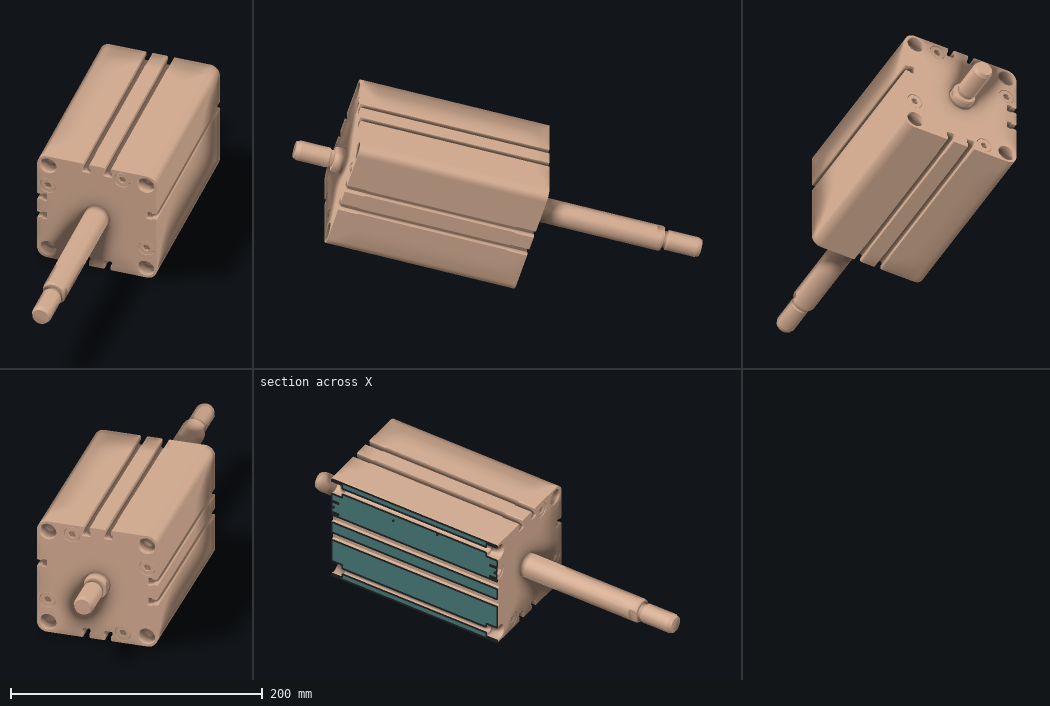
import cadquery as cq

total_length = 336.0
half_length = total_length / 2
body_width = 100.0
half_width = body_width / 2
body_corner_radius = 8.5
body_front_y = -28.2
body_rear_y = 128.5
cap_length = 16.0

groove_offset = 9.0
single_groove_offset = 11.8
mouth_width = 5.0
rim_bevel = 0.7
no_bevel = 0
channel_width = 7.0
groove_depth = 8.5
lip_depth = 4.0
channel_bevel = 0.7

mount_offset = 41.0
mount_hole_diameter = 8.5
mount_counterbore_diameter = 14.0
mount_counterbore_depth = 10.0

screw_offset = 41.3
screw_shift = 21.0
screw_pocket_diameter = 13.5
screw_pocket_depth = 6.7
screw_head_diameter = 12.5
screw_head_recess = 0.5
socket_across_corners = 6.5
socket_depth = 2.7
socket_sides = 6

rod_diameter = 20.0
rod_recess_diameter = 22.0
rod_recess_depth = 5.0

thread_diameter = 16.0
thread_length = 27.5
thread_bevel_length = 3.5
thread_bevel_height = 1.5
thread_root_bevel = 1.5
neck_diameter = 13.5
neck_length = 2.7
shoulder_bevel_length = 2.0
shoulder_bevel_height = 0.7
flats_spacing = 17.0
flat_length = 7.0
flat_ramp_length = 1.0
shoulder_y = half_length - thread_length - thread_root_bevel - neck_length

FULL_TURN = 360
SIDE_ANGLES = {"top": 0, "right": 90, "bottom": 180, "left": 270}


def section_plane(y):
    """Work plane across the rod at y, with local axes along +X and +Z."""
    return cq.Workplane("XZ", origin=(0, y, 0))


def cylinder(x, z, y_start, y_end, diameter):
    return section_plane(y_start).center(x, z).circle(diameter / 2).extrude(y_start - y_end)


def turned(shape, angle):
    """Shape turned about the rod axis; a quarter turn carries the top side to the right side."""
    return shape.rotate((0, 0, 0), (0, 1, 0), angle)


def groove(y_start, y_end, offset, rim):
    """Cutter for one groove in the top side; rim is the bevel of its mouth edges."""
    floor_z = half_width - groove_depth
    lip_z = half_width - lip_depth
    half_channel = channel_width / 2
    half_mouth = mouth_width / 2
    right_side = [
        (half_channel - channel_bevel, floor_z),
        (half_channel, floor_z + channel_bevel),
        (half_channel, lip_z),
        (half_mouth, lip_z),
        (half_mouth, half_width - rim),
    ]
    if rim > no_bevel:
        right_side.append((half_mouth + rim, half_width))
    left_side = [(-x, z) for x, z in reversed(right_side)]
    outline = section_plane(y_start).center(offset, 0).polyline(right_side + left_side).close()
    return outline.extrude(y_start - y_end)


def grooved_block(y_start, y_end, top_bottom_rim):
    """Rounded square length of the body with its grooves and mounting holes."""
    block = (
        section_plane(y_start)
        .rect(body_width, body_width)
        .extrude(y_start - y_end)
        .edges("|Y")
        .fillet(body_corner_radius)
    )
    pair = (-groove_offset, groove_offset)
    layout = [
        ("top", pair, top_bottom_rim),
        ("bottom", pair, top_bottom_rim),
        ("left", pair, rim_bevel),
        ("right", (-single_groove_offset,), rim_bevel),
    ]
    for side, offsets, rim in layout:
        for offset in offsets:
            block = block.cut(turned(groove(y_start, y_end, offset, rim), SIDE_ANGLES[side]))
    for x, z in mount_positions():
        block = block.cut(cylinder(x, z, y_start, y_end, mount_hole_diameter))
    return block


def mount_positions():
    signs = (-1, 1)
    return [(i * mount_offset, j * mount_offset) for i in signs for j in signs]


def screw_positions():
    return [
        (screw_shift, screw_offset),
        (screw_offset, -screw_shift),
        (-screw_shift, -screw_offset),
        (-screw_offset, screw_shift),
    ]


def screw_cutter(x, z, face_y, inward):
    """Ring-shaped gap around a screw head, the space above the head and its hex socket."""
    floor_y = face_y + inward * screw_pocket_depth
    head_y = face_y + inward * screw_head_recess
    pocket = cylinder(x, z, face_y, floor_y, screw_pocket_diameter)
    head = cylinder(x, z, head_y, floor_y, screw_head_diameter)
    socket = (
        section_plane(face_y)
        .center(x, z)
        .polygon(socket_sides, socket_across_corners)
        .extrude(-inward * socket_depth)
    )
    return pocket.cut(head).union(socket)


def end_cap(face_y, inward):
    """End cap with its outer face at face_y; inward is the Y direction into the body."""
    cap = grooved_block(face_y, face_y + inward * cap_length, rim_bevel)
    counterbore_y = face_y + inward * mount_counterbore_depth
    for x, z in mount_positions():
        cap = cap.cut(cylinder(x, z, face_y, counterbore_y, mount_counterbore_diameter))
    for x, z in screw_positions():
        cap = cap.cut(screw_cutter(x, z, face_y, inward))
    recess_y = face_y + inward * rod_recess_depth
    return cap.cut(cylinder(0, 0, face_y, recess_y, rod_recess_diameter))


def wrench_flat():
    """Cutter for the +X flat; its inner end ramps out to the rod surface."""
    rod_radius = rod_diameter / 2
    flat_x = flats_spacing / 2
    ramp_y = shoulder_y - flat_length
    profile = [
        (flat_x, shoulder_y),
        (flat_x, ramp_y + flat_ramp_length),
        (rod_radius, ramp_y),
        (rod_diameter, ramp_y),
        (rod_diameter, shoulder_y),
    ]
    return cq.Workplane("XY").polyline(profile).close().extrude(rod_diameter, both=True)


def half_rod():
    """Half of the rod from the middle of the part to its +Y end."""
    thread_radius = thread_diameter / 2
    neck_radius = neck_diameter / 2
    rod_radius = rod_diameter / 2
    thread_root_y = half_length - thread_length
    profile = [
        (0, 0),
        (rod_radius, 0),
        (rod_radius, shoulder_y - shoulder_bevel_length),
        (rod_radius - shoulder_bevel_height, shoulder_y),
        (neck_radius, shoulder_y),
        (neck_radius, thread_root_y - thread_root_bevel),
        (thread_radius, thread_root_y),
        (thread_radius, half_length - thread_bevel_length),
        (thread_radius - thread_bevel_height, half_length),
        (0, half_length),
    ]
    rod = cq.Workplane("XY").polyline(profile).close().revolve(FULL_TURN, (0, 0, 0), (0, 1, 0))
    flat = wrench_flat()
    return rod.cut(flat).cut(flat.mirror("YZ"))


tube = grooved_block(body_front_y + cap_length, body_rear_y - cap_length, no_bevel)
rear_rod = half_rod()
rod = rear_rod.union(rear_rod.mirror("XZ"))

result = (
    tube.union(end_cap(body_front_y, 1), clean=False)
    .union(end_cap(body_rear_y, -1), clean=False)
    .union(rod, clean=False)
)